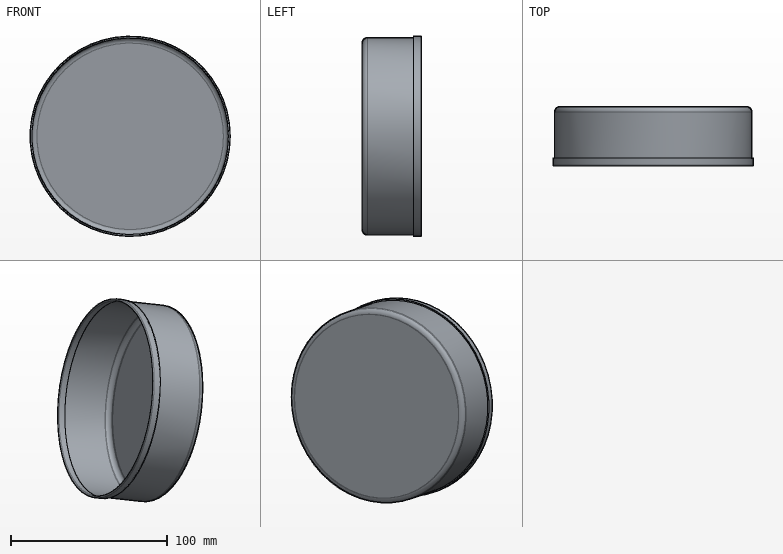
import cadquery as cq

cap_length = 38.0
lip_diameter = 127.8
body_diameter = 126.2
bore_diameter = 125.3
lip_length = 5.1
wall = (body_diameter - bore_diameter) / 2
outer_corner_radius = 3.6
inner_corner_radius = outer_corner_radius - wall

lip_radius = lip_diameter / 2
bore_radius = bore_diameter / 2
rim_radius = (lip_radius - bore_radius) / 2


def cylinder_along_y(diameter, y_start, length):
    """Solid cylinder on the Y axis, running towards +Y from y_start."""
    plane = cq.Workplane("XZ", origin=(0, y_start, 0))
    return plane.circle(diameter / 2).extrude(-length)


mouth_y = -cap_length / 2
rim_y = mouth_y + rim_radius

body = cylinder_along_y(body_diameter, rim_y, cap_length - rim_radius)
body = body.faces(">Y").edges().fillet(outer_corner_radius)

cavity = cylinder_along_y(bore_diameter, mouth_y, cap_length - wall)
cavity = cavity.faces(">Y").edges().fillet(inner_corner_radius)

lip = (
    cq.Workplane("XY")
    .moveTo(bore_radius, mouth_y + lip_length)
    .lineTo(bore_radius, rim_y)
    .threePointArc((bore_radius + rim_radius, mouth_y), (lip_radius, rim_y))
    .lineTo(lip_radius, mouth_y + lip_length)
    .close()
    .revolve(360, (0, 0, 0), (0, 1, 0))
)

result = body.cut(cavity).union(lip)